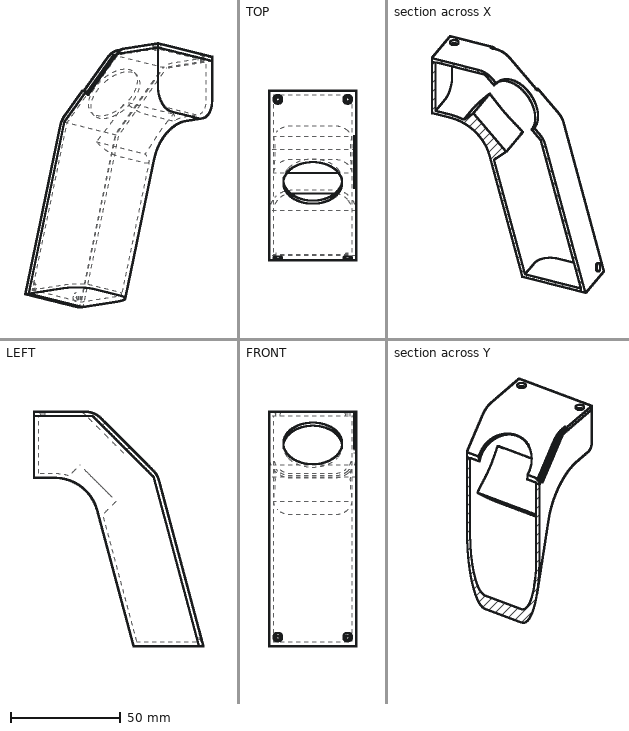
import cadquery as cq
import math

width = 40.0
depth = 77.71
height = 107.58
half_width = width / 2

lean = math.radians(15)
slope = math.radians(45)

cover_thickness = 2.0
wall = 2.0
slope_length = 39.6
cover_bend_radius = 10.0

head_height = 30.4
leg_thickness = 31.0
grip_bend_radius = 20.0
grip_edge_radius = 10.0

window_diameter = 27.0
window_along_slope = 19.8

screw_diameter = 2.0
screw_head_diameter = 4.0
screw_inset = 4.0
leg_screw_inset = 4.4

block_depth = 22.0
block_above_window = 8.0
block_below_window = 15.5

notch_width = 1.0
notch_depth = 4.0
notch_below_window = 2.25
notch_lower_radius = 1.0
notch_upper_radius = 3.0



def leg_line_y(offset, z):
    """Y of the leg's front face moved square to itself by offset, at height z."""
    return offset / math.cos(lean) + z * math.tan(lean)


def front_path(inset):
    """Toe, lower corner, upper corner and rear end of the front faces, moved inwards by inset."""
    joint_top = height - cover_thickness
    joint_low = joint_top - slope_length * math.sin(slope)
    joint_low_y = leg_line_y(cover_thickness, joint_low)
    move = inset - cover_thickness
    low_turn = (math.pi / 2 - lean - slope) / 2
    top_turn = slope / 2
    low_angle = lean + low_turn
    low_shift = move / math.cos(low_turn)
    low = (joint_low_y + low_shift * math.cos(low_angle), joint_low - low_shift * math.sin(low_angle))
    top_shift = move / math.cos(top_turn)
    top_y = joint_low_y + slope_length * math.cos(slope)
    top = (top_y + top_shift * math.sin(top_turn), joint_top - top_shift * math.cos(top_turn))
    toe = (leg_line_y(inset, 0), 0)
    return [toe, low, top, (depth, height - inset)]


bend_z = height - head_height - grip_bend_radius
bend_y = leg_line_y(leg_thickness + grip_bend_radius, bend_z)

joint_path = front_path(cover_thickness)


def bent_body(side, inset, grip_radius, edge_radius):
    """The space behind the cover, with rounded grip edges.

    side is the half width; inset pulls in the rear end and the bottom end.
    """
    _, low, top, rear = joint_path
    floor_toe = (leg_line_y(cover_thickness, inset), inset)
    rear_y = depth - inset

    def on_bend(angle):
        return bend_y - grip_radius * math.sin(angle), bend_z + grip_radius * math.cos(angle)

    leg_turn = math.pi / 2 - lean
    leg_rear_offset = leg_thickness + grip_bend_radius - grip_radius
    profile = (
        cq.Workplane("YZ", origin=(-side, 0, 0))
        .moveTo(*floor_toe)
        .lineTo(*low)
        .lineTo(*top)
        .lineTo(rear_y, rear[1])
        .lineTo(rear_y, bend_z + grip_radius)
        .lineTo(*on_bend(0))
        .threePointArc(on_bend(leg_turn / 2), on_bend(leg_turn))
        .lineTo(leg_line_y(leg_rear_offset, inset), inset)
        .close()
    )
    return profile.extrude(2 * side).edges("%CIRCLE").fillet(edge_radius)


def window_plane():
    """Frame on the outer slope face: x across, y up the slope, z outwards, origin at the window centre."""
    joint_low_y, joint_low_z = joint_path[1]
    centre_y = joint_low_y + window_along_slope * math.cos(slope) - cover_thickness * math.sin(slope)
    centre_z = joint_low_z + window_along_slope * math.sin(slope) + cover_thickness * math.cos(slope)
    normal = (0, -math.sin(slope), math.cos(slope))
    return cq.Plane(origin=(0, centre_y, centre_z), xDir=(1, 0, 0), normal=normal)


slope_frame = window_plane()


def slope_box(x_min, x_max, y_min, y_max, z_min, z_max):
    """A box given by its limits in the slope frame."""
    return (
        cq.Workplane(slope_frame)
        .workplane(offset=z_min)
        .center((x_min + x_max) / 2, (y_min + y_max) / 2)
        .rect(x_max - x_min, y_max - y_min)
        .extrude(z_max - z_min)
    )


notch = slope_box(
    half_width - notch_width, half_width,
    -notch_below_window, slope_length,
    -notch_depth, cover_thickness,
)



def make_housing():
    outside = bent_body(half_width, 0, grip_bend_radius, grip_edge_radius)
    inside = bent_body(half_width - wall, wall, grip_bend_radius + wall, grip_edge_radius - wall)
    block = slope_box(
        -half_width, half_width,
        -block_below_window, block_above_window,
        -block_depth - leg_thickness, -block_depth,
    )
    return outside.cut(inside.cut(block)).cut(notch)




def screw_cutter(plane):
    """Through hole with a 90 degree countersink, drilled into the given face plane."""
    sink_depth = (screw_head_diameter - screw_diameter) / 2
    half_section = [
        (0, 0),
        (screw_head_diameter / 2, 0),
        (screw_diameter / 2, -sink_depth),
        (screw_diameter / 2, -cover_thickness),
        (0, -cover_thickness),
    ]
    cutter = cq.Workplane("XZ").polyline(half_section).close().revolve(360, (0, 0), (0, 1))
    return cq.Workplane(cutter.val().moved(cq.Location(plane)))


def bent_plate(x_min, x_max):
    """The bent cover plate between two X limits, with its outer bends rounded."""
    outer_path = front_path(0)
    plate = (
        cq.Workplane("YZ", origin=(x_min, 0, 0))
        .polyline(outer_path + joint_path[::-1])
        .close()
        .extrude(x_max - x_min)
    )
    for corner_y, corner_z in outer_path[1:3]:
        corner_edge = cq.selectors.NearestToPointSelector(((x_min + x_max) / 2, corner_y, corner_z))
        plate = plate.edges(corner_edge).fillet(cover_bend_radius)
    return plate


def notched_edge_strip():
    """The strip of cover beside the notch, with rounded edges at both ends of the notch."""
    strip = bent_plate(half_width - notch_width, half_width).cut(notch)
    notch_x = half_width - notch_width / 2
    lower_mouth = slope_frame.toWorldCoords((notch_x, -notch_below_window, 0))
    floor_centre = slope_frame.toWorldCoords((notch_x, 0, -notch_depth))
    run_out_y = floor_centre.y + (height - floor_centre.z) / math.tan(slope)
    upper_mouth = cq.Vector(notch_x, run_out_y, height)
    for mouth, radius in ((lower_mouth, notch_lower_radius), (upper_mouth, notch_upper_radius)):
        mouth_edge = cq.selectors.NearestToPointSelector(mouth.toTuple())
        strip = strip.edges(mouth_edge).fillet(radius)
    return strip


def make_cover():
    window = cq.Workplane(slope_frame).circle(window_diameter / 2).extrude(-2 * cover_thickness)
    plate = bent_plate(-half_width, half_width - notch_width)
    plate = plate.union(notched_edge_strip()).cut(window)

    for side in (-1, 1):
        screw_x = side * (half_width - screw_inset)
        head_plane = cq.Plane(origin=(screw_x, depth - screw_inset, height), xDir=(1, 0, 0), normal=(0, 0, 1))
        leg_plane = cq.Plane(
            origin=(screw_x, leg_screw_inset * math.sin(lean), leg_screw_inset * math.cos(lean)),
            xDir=(1, 0, 0),
            normal=(0, -math.cos(lean), math.sin(lean)),
        )
        plate = plate.cut(screw_cutter(head_plane)).cut(screw_cutter(leg_plane))
    return plate


housing = make_housing()
cover = make_cover()

result = cq.Compound.makeCompound([housing.val(), cover.val()])